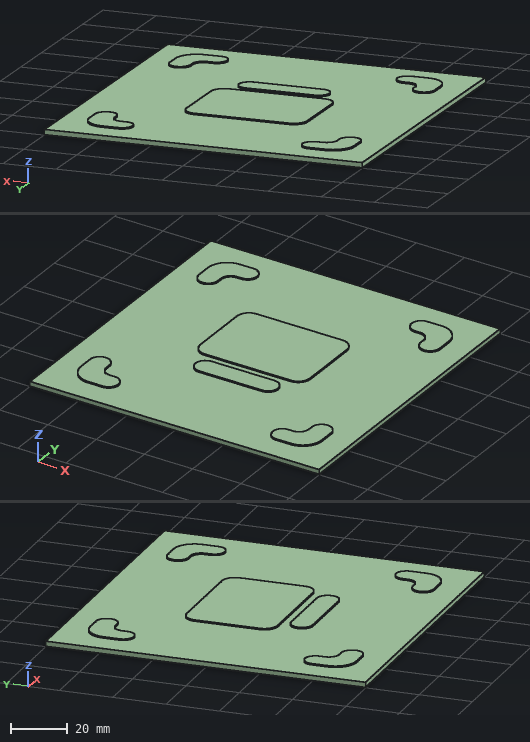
import cadquery as cq

PLATE_SIDE = 120.0
PLATE_THICKNESS = 2.0

PAD_HEIGHT = 0.5

CORNER_MARGIN = 10.0
CORNER_LENGTH = 18.0
CORNER_WIDTH = 8.0
CORNER_OUTER_RADIUS = 8.0
CORNER_INNER_RADIUS = 4.0

CENTRE_SIDE = 45.6
PANEL_HEIGHT = 34.2
PANEL_CORNER_RADIUS = 5.0
BAR_LENGTH = 34.2
BAR_WIDTH = 8.2


def make_plate():
    return cq.Workplane("XY").box(
        PLATE_SIDE, PLATE_SIDE, PLATE_THICKNESS, centered=(True, True, False)
    )


def pad_plane():
    return cq.Workplane("XY").workplane(offset=PLATE_THICKNESS)


def make_corner_pad():
    """L-shaped pad in the -X, -Y corner with rounded elbow and full-round ends."""
    outer = CORNER_MARGIN - PLATE_SIDE / 2
    inner = outer + CORNER_WIDTH
    tip = outer + CORNER_LENGTH
    end_radius = CORNER_WIDTH / 2
    arm_end = tip - end_radius
    middle = outer + end_radius
    outer_tangent = outer + CORNER_OUTER_RADIUS
    inner_tangent = inner + CORNER_INNER_RADIUS
    return (
        pad_plane()
        .moveTo(outer_tangent, outer)
        .lineTo(arm_end, outer)
        .threePointArc((tip, middle), (arm_end, inner))
        .lineTo(inner_tangent, inner)
        .radiusArc((inner, inner_tangent), CORNER_INNER_RADIUS)
        .lineTo(inner, arm_end)
        .threePointArc((middle, tip), (outer, arm_end))
        .lineTo(outer, outer_tangent)
        .radiusArc((outer_tangent, outer), -CORNER_OUTER_RADIUS)
        .close()
        .extrude(PAD_HEIGHT)
    )


def make_panel():
    centre_y = (CENTRE_SIDE - PANEL_HEIGHT) / 2
    return (
        pad_plane()
        .center(0, centre_y)
        .rect(CENTRE_SIDE, PANEL_HEIGHT)
        .extrude(PAD_HEIGHT)
        .edges("|Z")
        .fillet(PANEL_CORNER_RADIUS)
    )


def make_bar():
    centre_y = (BAR_WIDTH - CENTRE_SIDE) / 2
    return pad_plane().center(0, centre_y).slot2D(BAR_LENGTH, BAR_WIDTH).extrude(PAD_HEIGHT)


result = make_plate().union(make_panel()).union(make_bar())

corner_pad = make_corner_pad()
for angle in (0, 90, 180, 270):
    result = result.union(corner_pad.rotate((0, 0, 0), (0, 0, 1), angle))